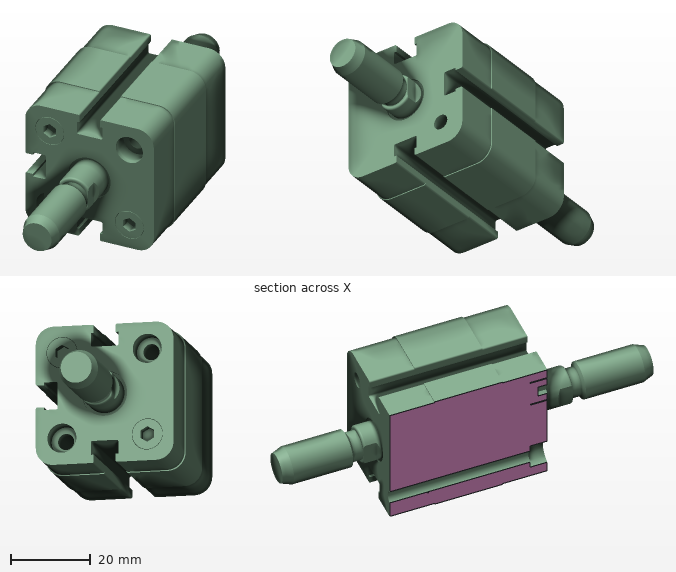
import cadquery as cq


BARREL_SIDE = 36.1
CAP_SIDE = 35.6
CORNER_RADIUS = 4.5
BODY_LENGTH = 42.9
CAP_LENGTH = 12.2

THROAT_WIDTH = 5.7
MOUTH_RADIUS = 0.4
SLOT_WIDTH = 7.1
SLOT_FLOOR_OFFSET = 12.1
SLOT_LIP_OFFSET = 15.7
SLOT_CORNER_RADIUS = 0.4

HOLE_OFFSET = 11.0
THROUGH_DIAMETER = 4.1
COUNTERBORE_DIAMETER = 7.5
COUNTERBORE_DEPTH = 4.6
SCREW_RECESS_DIAMETER = 8.0
SCREW_HEAD_DIAMETER = 7.8
SCREW_RECESS_DEPTH = COUNTERBORE_DEPTH
HEX_FLATS = 3.4
HEX_DEPTH = 2.5

ROD_DIAMETER = 10.0
NECK_DIAMETER = 7.8
TIP_DIAMETER = 8.0
TIP_CHAMFER_LENGTH = 2.7
COLLAR_EDGE_RADIUS = 0.6
THREAD_RAMP_LENGTH = 0.7
THREAD_LENGTH = 19.5
NECK_LENGTH = 2.5
FRONT_COLLAR_LENGTH = 9.5
STROKE = 4.9
BACK_COLLAR_LENGTH = FRONT_COLLAR_LENGTH - STROKE
WRENCH_FLATS = 8.0
FLAT_LENGTH = 3.4
ROD_RECESS_DIAMETER = 11.6
ROD_RECESS_DEPTH = 0.5


def cross_section(y):
    """Sketch plane at the given Y, facing -Y, with local axes X and Z."""
    return cq.Workplane("XZ", origin=(0, y, 0))


def slot_cutter(side, y_start, length):
    """T-slot opening toward +Z through a block of the given side, with a rounded mouth."""
    throat_half = THROAT_WIDTH / 2
    round_start = side / 2 - MOUTH_RADIUS
    throat = (
        cross_section(y_start)
        .moveTo(-throat_half, SLOT_FLOOR_OFFSET)
        .lineTo(throat_half, SLOT_FLOOR_OFFSET)
        .lineTo(throat_half, round_start)
        .radiusArc((throat_half + MOUTH_RADIUS, side / 2), MOUTH_RADIUS)
        .lineTo(-throat_half - MOUTH_RADIUS, side / 2)
        .radiusArc((-throat_half, round_start), MOUTH_RADIUS)
        .close()
        .extrude(-length)
    )
    undercut_height = SLOT_LIP_OFFSET - SLOT_FLOOR_OFFSET
    undercut = (
        cross_section(y_start)
        .center(0, SLOT_FLOOR_OFFSET + undercut_height / 2)
        .rect(SLOT_WIDTH, undercut_height)
        .extrude(-length)
        .edges("|Y and <Z")
        .fillet(SLOT_CORNER_RADIUS)
    )
    return throat.union(undercut)


def body_section(side, y_start, length):
    """Rounded block with slots on the +Z, -X and -Z sides."""
    block = cross_section(y_start).rect(side, side).extrude(-length)
    block = block.edges("|Y").fillet(CORNER_RADIUS)
    slot = slot_cutter(side, y_start, length)
    for angle in (0, -90, 180):
        block = block.cut(slot.rotate((0, 0, 0), (0, 1, 0), angle))
    return block


def make_body():
    front_cap = body_section(CAP_SIDE, 0, CAP_LENGTH)
    barrel = body_section(BARREL_SIDE, CAP_LENGTH, BODY_LENGTH - 2 * CAP_LENGTH)
    back_cap = body_section(CAP_SIDE, BODY_LENGTH - CAP_LENGTH, CAP_LENGTH)
    return front_cap.union(barrel).union(back_cap)


def mounting_hole_cutter(x, z):
    through = cross_section(0).center(x, z).circle(THROUGH_DIAMETER / 2).extrude(-BODY_LENGTH)
    counterbore = cross_section(0).center(x, z).circle(COUNTERBORE_DIAMETER / 2).extrude(-COUNTERBORE_DEPTH)
    return through.union(counterbore)


def screw_cutter(x, z):
    """Clearance ring around a flush screw head, and its hexagon socket."""
    ring = (
        cross_section(0)
        .center(x, z)
        .circle(SCREW_RECESS_DIAMETER / 2)
        .circle(SCREW_HEAD_DIAMETER / 2)
        .extrude(-SCREW_RECESS_DEPTH)
    )
    socket = (
        cross_section(0)
        .center(x, z)
        .polygon(6, HEX_FLATS, circumscribed=True)
        .extrude(-HEX_DEPTH)
    )
    return ring.union(socket)


def rod_end(collar_length):
    """Rod end pointing to +Y, with Y = 0 where it leaves the body."""
    rod_radius = ROD_DIAMETER / 2
    neck_radius = NECK_DIAMETER / 2
    neck_start = collar_length
    thread_start = neck_start + NECK_LENGTH
    tip = thread_start + THREAD_LENGTH
    rod = (
        cq.Workplane("XY")
        .moveTo(0, -ROD_RECESS_DEPTH)
        .lineTo(rod_radius, -ROD_RECESS_DEPTH)
        .lineTo(rod_radius, neck_start - COLLAR_EDGE_RADIUS)
        .radiusArc((rod_radius - COLLAR_EDGE_RADIUS, neck_start), -COLLAR_EDGE_RADIUS)
        .lineTo(neck_radius, neck_start)
        .lineTo(neck_radius, thread_start)
        .lineTo(rod_radius, thread_start + THREAD_RAMP_LENGTH)
        .lineTo(rod_radius, tip - TIP_CHAMFER_LENGTH)
        .lineTo(TIP_DIAMETER / 2, tip)
        .lineTo(0, tip)
        .close()
        .revolve(360, (0, 0, 0), (0, 1, 0))
    )
    flat_x = WRENCH_FLATS / 2
    flat_start = neck_start - FLAT_LENGTH
    ramp = rod_radius - flat_x
    flat_cutter = (
        cq.Workplane("XY")
        .moveTo(flat_x, neck_start)
        .lineTo(flat_x, flat_start)
        .lineTo(rod_radius, flat_start - ramp)
        .lineTo(rod_radius, neck_start)
        .close()
        .extrude(rod_radius, both=True)
    )
    return rod.cut(flat_cutter).cut(flat_cutter.mirror("YZ"))


result = make_body()

for sign in (1, -1):
    result = result.cut(mounting_hole_cutter(sign * HOLE_OFFSET, sign * HOLE_OFFSET))
    result = result.cut(screw_cutter(sign * HOLE_OFFSET, -sign * HOLE_OFFSET))

for recess_start in (0, BODY_LENGTH - ROD_RECESS_DEPTH):
    recess = cross_section(recess_start).circle(ROD_RECESS_DIAMETER / 2).extrude(-ROD_RECESS_DEPTH)
    result = result.cut(recess)

result = result.union(rod_end(FRONT_COLLAR_LENGTH).mirror("XZ"))
result = result.union(rod_end(BACK_COLLAR_LENGTH).translate((0, BODY_LENGTH, 0)))